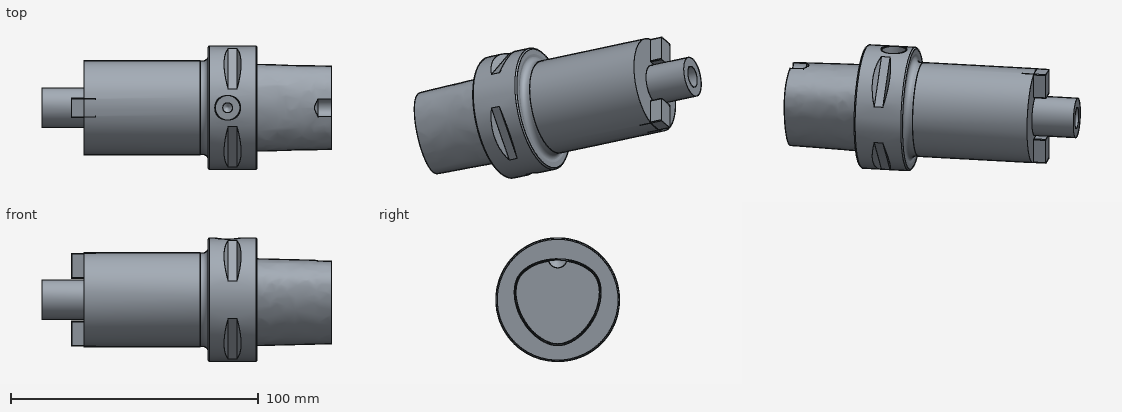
import cadquery as cq
import math

total_length = 117.0
body_start = 17.0
neck_start = 64.0
undercut_start = 64.9
collar_start = 67.0
collar_end = 86.9

pilot_dia = 16.0
bore_dia = 8.5
body_dia = 38.0
neck_dia = 37.8
recess_dia = 42.4
recess_mouth_dia = 44.5
collar_dia = 50.0
collar_chamfer = 0.6

bore_depth = 5.0

key_width = 8.0
key_start = 12.0
key_end = 21.8
key_inner = 8.7
key_outer = 18.7
key_chamfer = 0.4

groove_x = 77.0
groove_floor_width = 3.5
groove_mouth_width = 6.9
groove_floor_radius = 22.17
groove_count = 4
index_x = 75.0
index_dia = 10.0
index_floor_z = 20.0
dimple_dia = 4.0
dimple_depth = 1.2
index_chamfer = 0.2

shank_mean_radius = 17.5
shank_lobe_height = 1.0
shank_taper = 1 / 40
shank_points = 48

notch_width = 7.5
notch_length = 5.5
notch_tip_length = 1.9
notch_axis_z = 16.6


def turned_body():
    """Pilot, body, undercut neck and collar as one revolved profile."""
    undercut_radius = (recess_dia - neck_dia) / 2
    undercut_end = undercut_start + undercut_radius
    diagonal = undercut_radius * math.sqrt(0.5)
    arc_middle = (undercut_start + diagonal, recess_dia / 2 - diagonal)
    step = (body_dia - neck_dia) / 2
    rim = collar_dia / 2
    return (
        cq.Workplane("XY")
        .moveTo(0, 0)
        .lineTo(0, pilot_dia / 2)
        .lineTo(body_start, pilot_dia / 2)
        .lineTo(body_start, body_dia / 2)
        .lineTo(neck_start - step, body_dia / 2)
        .lineTo(neck_start, neck_dia / 2)
        .lineTo(undercut_start, neck_dia / 2)
        .threePointArc(arc_middle, (undercut_end, recess_dia / 2))
        .lineTo(collar_start, recess_mouth_dia / 2)
        .lineTo(collar_start, rim - collar_chamfer)
        .lineTo(collar_start + collar_chamfer, rim)
        .lineTo(collar_end - collar_chamfer, rim)
        .lineTo(collar_end, rim - collar_chamfer)
        .lineTo(collar_end, 0)
        .close()
        .revolve(360, (0, 0, 0), (1, 0, 0))
    )


def lobed_outline(mean_radius):
    """Points (y, z) of a rounded triangle with one lobe toward -Z."""
    points = []
    for i in range(shank_points):
        angle = 2 * math.pi * i / shank_points
        reach = mean_radius + shank_lobe_height * math.cos(3 * angle)
        slope = -3 * shank_lobe_height * math.sin(3 * angle)
        y = reach * math.sin(angle) + slope * math.cos(angle)
        z = -reach * math.cos(angle) + slope * math.sin(angle)
        points.append((y, z))
    return points


def shank():
    """Lobed taper, narrowing from the collar to the shank end."""
    length = total_length - collar_end
    tip_radius = shank_mean_radius - length * shank_taper
    return (
        cq.Workplane("YZ", origin=(collar_end, 0, 0))
        .spline(lobed_outline(shank_mean_radius), periodic=True)
        .close()
        .workplane(offset=length)
        .spline(lobed_outline(tip_radius), periodic=True)
        .close()
        .loft(ruled=True)
    )


def key(side):
    """Driving key on the +Z (side = 1) or -Z (side = -1) half of the body."""
    block = cq.Workplane("XY").box(key_end - key_start, key_width, key_outer - key_inner)
    block = block.edges("|X").chamfer(key_chamfer)
    return block.translate(((key_start + key_end) / 2, 0, side * (key_outer + key_inner) / 2))


def gripper_groove(angle):
    """Straight groove with sloping walls, turned about X from the +Z position."""
    floor = groove_floor_width / 2
    mouth = groove_mouth_width / 2
    rim = collar_dia / 2
    return (
        cq.Workplane("XZ")
        .moveTo(groove_x - floor, groove_floor_radius)
        .lineTo(groove_x + floor, groove_floor_radius)
        .lineTo(groove_x + mouth, rim)
        .lineTo(groove_x - mouth, rim)
        .close()
        .extrude(collar_dia / 2, both=True)
        .rotate((0, 0, 0), (1, 0, 0), angle)
    )


def index_hole():
    """Flat-bottomed round pocket on +Z with a conical dimple in its floor."""
    mouth_z = math.sqrt((collar_dia / 2) ** 2 - (index_dia / 2) ** 2)
    return (
        cq.Workplane("XZ")
        .moveTo(0, index_floor_z - dimple_depth)
        .lineTo(dimple_dia / 2, index_floor_z)
        .lineTo(index_dia / 2, index_floor_z)
        .lineTo(index_dia / 2, mouth_z)
        .lineTo(index_dia / 2 + index_chamfer, mouth_z + index_chamfer)
        .lineTo(index_dia / 2 + index_chamfer, collar_dia / 2)
        .lineTo(0, collar_dia / 2)
        .close()
        .revolve(360, (0, 0, 0), (0, 1, 0))
        .translate((index_x, 0, 0))
    )


def end_notch():
    """Cylindrical notch along X with a conical inner end, open at the shank end."""
    tip_x = total_length - notch_length
    return (
        cq.Workplane("XY")
        .moveTo(tip_x - notch_tip_length, 0)
        .lineTo(tip_x, notch_width / 2)
        .lineTo(total_length, notch_width / 2)
        .lineTo(total_length, 0)
        .close()
        .revolve(360, (0, 0, 0), (1, 0, 0))
        .translate((0, 0, notch_axis_z))
    )


result = turned_body().union(shank())
for side in (1, -1):
    result = result.union(key(side))
result = result.cut(cq.Workplane("YZ").circle(bore_dia / 2).extrude(bore_depth))
for i in range(groove_count):
    result = result.cut(gripper_groove(360 / groove_count * (i + 0.5)))
result = result.cut(index_hole())
result = result.cut(end_notch())